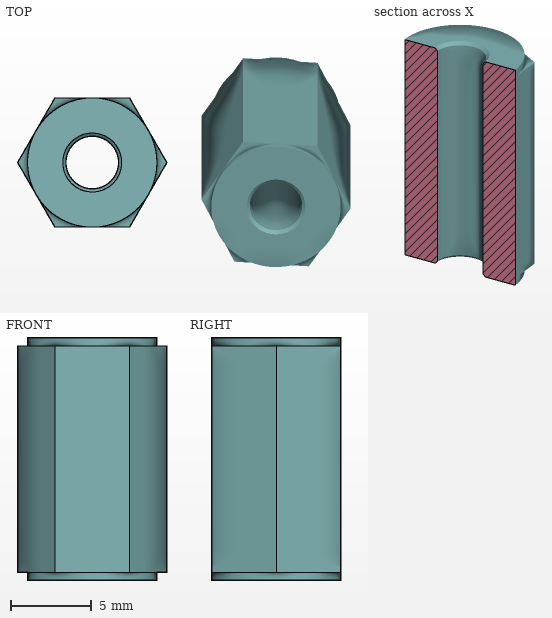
import cadquery as cq
import math

hex_sides = 6
across_flats = 8.0
total_length = 15.0
collar_height = 0.5
bore_diameter = 3.24
bore_chamfer = 0.2

across_corners = across_flats / math.cos(math.pi / hex_sides)
hex_length = total_length - 2 * collar_height
collar_diameter = across_flats


def hex_body():
    """Hexagonal bar along Z, with two corners on the X axis."""
    return (
        cq.Workplane("XY")
        .workplane(offset=collar_height)
        .polygon(hex_sides, across_corners)
        .extrude(hex_length)
    )


def round_core():
    """Full-length cylinder that forms the collar at each end."""
    return cq.Workplane("XY").circle(collar_diameter / 2).extrude(total_length)


def chamfered_bore():
    """Through bore with a 45 degree flare at both ends, as one revolved cutter."""
    bore_radius = bore_diameter / 2
    mouth_radius = bore_radius + bore_chamfer
    half_profile = [
        (0, 0),
        (mouth_radius, 0),
        (bore_radius, bore_chamfer),
        (bore_radius, total_length - bore_chamfer),
        (mouth_radius, total_length),
        (0, total_length),
    ]
    return cq.Workplane("XZ").polyline(half_profile).close().revolve(360, (0, 0, 0), (0, 1, 0))


result = hex_body().union(round_core()).cut(chamfered_bore())